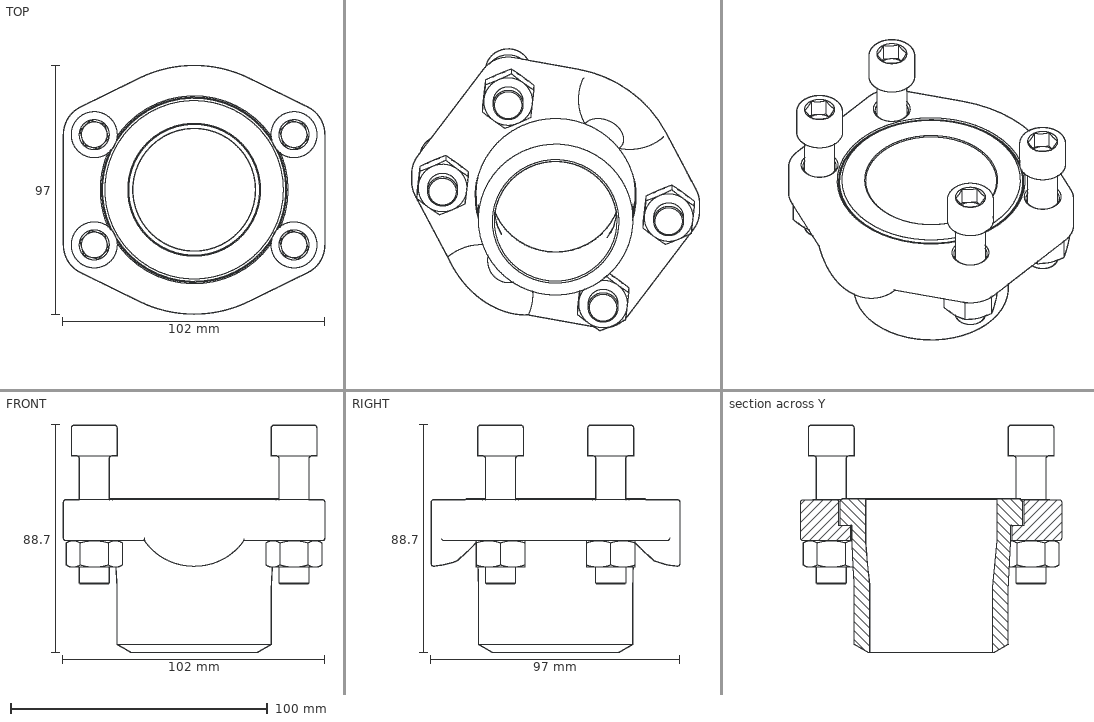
import cadquery as cq
import math


BOLT_SPACING_X = 77.8
BOLT_SPACING_Y = 42.9

FLANGE_LENGTH = 102
FLANGE_CROWN_DIAMETER = 97.0
FLANGE_THICKNESS = 16.0
FLANGE_EDGE_FILLET = 1
LOBE_DEPTH = 10.0
LOBE_SPHERE_RADIUS = 25.0
LOBE_INNER_ANGLE = 42
RECESS_DIAMETER = 72.2
RECESS_DEPTH = 10.0
RECESS_CHAMFER = 0.5
NECK_HOLE_DIAMETER = 62.7
BOLT_HOLE_DIAMETER = 13.0
BOLT_HOLE_CHAMFER = 0.7

ADAPTER_LENGTH = 60.0
ADAPTER_PROTRUSION = 0.4
COLLAR_DIAMETER = 71.4
COLLAR_CHAMFER = 0.9
NECK_DIAMETER = 62.0
PIPE_DIAMETER = 60.3
NECK_BORE_DIAMETER = 51
NECK_BORE_CHAMFER = 0.4
PIPE_BORE_DIAMETER = 47.7
TAPER_START_DEPTH = 17.0
TAPER_END_DEPTH = 34.0
WELD_BEVEL_ANGLE = 30
WELD_BEVEL_HEIGHT = 3.2

SHANK_DIAMETER = 11.7
SHANK_LENGTH = 50
SHANK_TIP_CHAMFER = 0.5
HEAD_DIAMETER = 18.0
HEAD_HEIGHT = 12.0
HEAD_FILLET = 1.2
HEAD_TOP_Z = 29.1
UNDERHEAD_FILLET = 1.1
SOCKET_FLATS = 10.0
SOCKET_DEPTH = 7.1
SOCKET_TURN = 45
SOCKET_MOUTH_DIAMETER = 11.7
SOCKET_MOUTH_ANGLE = 30
SOCKET_POINT_ANGLE = 120

NUT_FLATS = 19.0
NUT_HEIGHT = 10.3
NUT_CHAMFER_ANGLE = 30

LOBE_BOTTOM = -FLANGE_THICKNESS - LOBE_DEPTH
COS_30 = math.cos(math.radians(30))
bolt_points = [
    (side_x * BOLT_SPACING_X / 2, side_y * BOLT_SPACING_Y / 2)
    for side_x in (-1, 1)
    for side_y in (-1, 1)
]


def cylinder(diameter, bottom_z, top_z):
    return cq.Workplane("XY").workplane(offset=bottom_z).circle(diameter / 2).extrude(top_z - bottom_z)


def cone(bottom_diameter, top_diameter, bottom_z, top_z):
    """Frustum on the Z axis; a zero diameter gives a point."""
    return cq.Workplane(
        cq.Solid.makeCone(
            bottom_diameter / 2, top_diameter / 2, top_z - bottom_z, pnt=cq.Vector(0, 0, bottom_z)
        )
    )


def flange_outline(bottom_z, height):
    """Crown arcs joined by tangent lines to corner arcs that are concentric with the bolts."""
    bolt_x, bolt_y = BOLT_SPACING_X / 2, BOLT_SPACING_Y / 2
    crown_radius = FLANGE_CROWN_DIAMETER / 2
    half_length = FLANGE_LENGTH / 2
    corner_radius = half_length - bolt_x

    center_distance = math.hypot(bolt_x, bolt_y)
    tangent = math.atan2(bolt_y, bolt_x) + math.acos((crown_radius - corner_radius) / center_distance)
    middle = tangent / 2

    def corner_point(angle):
        return (bolt_x + corner_radius * math.cos(angle), bolt_y + corner_radius * math.sin(angle))

    crown_x, crown_y = crown_radius * math.cos(tangent), crown_radius * math.sin(tangent)
    mid_x, mid_y = corner_point(middle)
    end_x, end_y = corner_point(tangent)
    return (
        cq.Workplane("XY")
        .workplane(offset=bottom_z)
        .moveTo(half_length, -bolt_y)
        .lineTo(half_length, bolt_y)
        .threePointArc((mid_x, mid_y), (end_x, end_y))
        .lineTo(crown_x, crown_y)
        .threePointArc((0, crown_radius), (-crown_x, crown_y))
        .lineTo(-end_x, end_y)
        .threePointArc((-mid_x, mid_y), (-half_length, bolt_y))
        .lineTo(-half_length, -bolt_y)
        .threePointArc((-mid_x, -mid_y), (-end_x, -end_y))
        .lineTo(-crown_x, -crown_y)
        .threePointArc((0, -crown_radius), (crown_x, -crown_y))
        .lineTo(end_x, -end_y)
        .threePointArc((mid_x, -mid_y), (half_length, -bolt_y))
        .close()
        .extrude(height)
    )


def make_lobe(side):
    """Part of a sphere centred on the crown face; it reaches up into the plate, past the rounded rim."""
    crown = cylinder(FLANGE_CROWN_DIAMETER, LOBE_BOTTOM - LOBE_DEPTH, -FLANGE_THICKNESS / 2)
    lobe = (
        cq.Workplane("XY")
        .sphere(LOBE_SPHERE_RADIUS)
        .rotate((0, 0, 0), (1, 0, 0), 90)
        .translate((0, side * FLANGE_CROWN_DIAMETER / 2, LOBE_BOTTOM + LOBE_SPHERE_RADIUS))
        .intersect(crown)
    )
    return lobe.edges("<Z").fillet(FLANGE_EDGE_FILLET)


def make_flange():
    plate = flange_outline(-FLANGE_THICKNESS, FLANGE_THICKNESS)
    body = plate.faces("<Z or >Z").edges().fillet(FLANGE_EDGE_FILLET)
    for side in (-1, 1):
        body = body.union(make_lobe(side))

    relief_bottom_diameter = NECK_HOLE_DIAMETER + 2 * LOBE_DEPTH * math.tan(math.radians(LOBE_INNER_ANGLE))
    body = body.cut(cone(relief_bottom_diameter, NECK_HOLE_DIAMETER, LOBE_BOTTOM, -FLANGE_THICKNESS))

    body = body.cut(cylinder(NECK_HOLE_DIAMETER, LOBE_BOTTOM, 0))
    body = body.cut(cylinder(RECESS_DIAMETER, -RECESS_DEPTH, 0))
    recess_mouth_diameter = RECESS_DIAMETER + 2 * RECESS_CHAMFER
    body = body.cut(cone(RECESS_DIAMETER, recess_mouth_diameter, -RECESS_CHAMFER, 0))

    hole_mouth_diameter = BOLT_HOLE_DIAMETER + 2 * BOLT_HOLE_CHAMFER
    bolt_hole = cylinder(BOLT_HOLE_DIAMETER, -FLANGE_THICKNESS, 0).union(
        cone(BOLT_HOLE_DIAMETER, hole_mouth_diameter, -BOLT_HOLE_CHAMFER, 0)
    )
    for x, y in bolt_points:
        body = body.cut(bolt_hole.translate((x, y, 0)))
    return body


def make_adapter():
    top = ADAPTER_PROTRUSION
    bottom = top - ADAPTER_LENGTH
    bevel_width = WELD_BEVEL_HEIGHT / math.tan(math.radians(WELD_BEVEL_ANGLE))
    collar, neck, pipe = COLLAR_DIAMETER / 2, NECK_DIAMETER / 2, PIPE_DIAMETER / 2
    neck_bore, pipe_bore = NECK_BORE_DIAMETER / 2, PIPE_BORE_DIAMETER / 2
    profile = [
        (neck_bore + NECK_BORE_CHAMFER, top),
        (collar - COLLAR_CHAMFER, top),
        (collar, top - COLLAR_CHAMFER),
        (collar, -RECESS_DEPTH),
        (neck, -RECESS_DEPTH),
        (neck, top - TAPER_START_DEPTH),
        (pipe, top - TAPER_END_DEPTH),
        (pipe, bottom + WELD_BEVEL_HEIGHT),
        (pipe - bevel_width, bottom),
        (pipe_bore, bottom),
        (pipe_bore, top - TAPER_END_DEPTH),
        (neck_bore, top - TAPER_START_DEPTH),
        (neck_bore, top - NECK_BORE_CHAMFER),
    ]
    return cq.Workplane("XZ").polyline(profile).close().revolve(360, (0, 0), (0, 1))


def make_bolt(x, y):
    seat = HEAD_TOP_Z - HEAD_HEIGHT
    tip = seat - SHANK_LENGTH
    head, shank = HEAD_DIAMETER / 2, SHANK_DIAMETER / 2
    turned = (
        cq.Workplane("XZ")
        .moveTo(0, HEAD_TOP_Z)
        .lineTo(head - HEAD_FILLET, HEAD_TOP_Z)
        .radiusArc((head, HEAD_TOP_Z - HEAD_FILLET), HEAD_FILLET)
        .lineTo(head, seat)
        .lineTo(shank + UNDERHEAD_FILLET, seat)
        .radiusArc((shank, seat - UNDERHEAD_FILLET), -UNDERHEAD_FILLET)
        .lineTo(shank, tip + SHANK_TIP_CHAMFER)
        .lineTo(shank - SHANK_TIP_CHAMFER, tip)
        .lineTo(0, tip)
        .close()
        .revolve(360, (0, 0), (0, 1))
    )

    floor = HEAD_TOP_Z - SOCKET_DEPTH
    socket_corners = SOCKET_FLATS / COS_30
    socket = (
        cq.Workplane("XY")
        .workplane(offset=floor)
        .polygon(6, socket_corners)
        .extrude(SOCKET_DEPTH)
        .rotate((0, 0, 0), (0, 0, 1), SOCKET_TURN)
    )
    mouth_depth = (SOCKET_MOUTH_DIAMETER - SOCKET_FLATS) / 2 * math.tan(math.radians(SOCKET_MOUTH_ANGLE))
    mouth = cone(SOCKET_FLATS, SOCKET_MOUTH_DIAMETER, HEAD_TOP_Z - mouth_depth, HEAD_TOP_Z)
    point_depth = SOCKET_FLATS / 2 / math.tan(math.radians(SOCKET_POINT_ANGLE / 2))
    point = cone(0, SOCKET_FLATS, floor - point_depth, floor)

    bolt = turned.cut(socket).cut(mouth).cut(point)
    return bolt.translate((x, y, 0))


def make_nut(x, y):
    top = -FLANGE_THICKNESS
    bottom = top - NUT_HEIGHT
    corners = NUT_FLATS / COS_30
    hexagon = cq.Workplane("XY").workplane(offset=bottom).polygon(6, corners).extrude(NUT_HEIGHT)

    chamfer_height = (corners - NUT_FLATS) / 2 * math.tan(math.radians(NUT_CHAMFER_ANGLE))
    turned = (
        cylinder(corners, bottom + chamfer_height, top - chamfer_height)
        .union(cone(NUT_FLATS, corners, bottom, bottom + chamfer_height))
        .union(cone(corners, NUT_FLATS, top - chamfer_height, top))
    )
    nut = hexagon.intersect(turned).cut(cylinder(SHANK_DIAMETER, bottom, top))
    return nut.translate((x, y, 0))


flange = make_flange()
adapter = make_adapter()
bolts = [make_bolt(x, y) for x, y in bolt_points]
nuts = [make_nut(x, y) for x, y in bolt_points]

result = cq.Compound.makeCompound(
    [flange.val(), adapter.val(), *[bolt.val() for bolt in bolts], *[nut.val() for nut in nuts]]
)